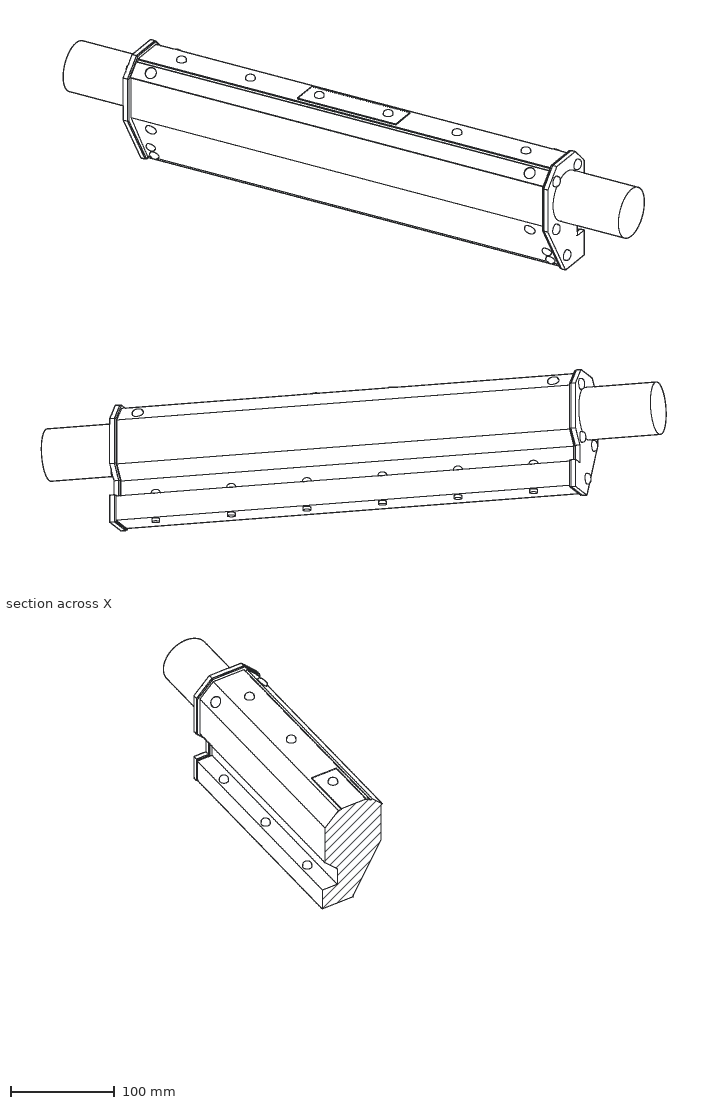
import cadquery as cq
import math

OVERALL_LENGTH = 614.38
TOTAL_HEIGHT = 122.73
TUBE_DIAMETER = 50.8
HOUSING_LENGTH = 457.2

FLANGE_PLATE_THICKNESS = 4.75
GASKET_THICKNESS = 1.6
GASKET_INSET = 0.4
FLANGE_HALF_WIDTH = 35.56
FLANGE_TOP = 39.6
FLANGE_TOP_HALF_WIDTH = 18.0
FLANGE_BOTTOM = -80.6
FLANGE_TOE_Y = -1.0
FLANGE_FRONT_KNEE_Z = -23.6
BACK_KNEE_Z = -22.5
WAIST_Y = 21.8
FOOT_TOP = -53.6

HOUSING_TOP = 36.2
HOUSING_TOP_HALF_WIDTH = 17.5
HOUSING_BACK_Y = 32.6
HOUSING_WAIST_Y = 18.9
HOUSING_FOOT_TOP = -55.0
HOUSING_BOTTOM = -79.0
HOUSING_TOE_Y = 0.5
HOUSING_FRONT_Y = -31.1
HOUSING_FRONT_KNEE_Z = -21.4

PANEL_THICKNESS = 2.0
PANEL_SETBACK = 1.8
TOP_LIP = 1.1
BOTTOM_LIP = 1.7

PLATE_LENGTH = 109.0
PLATE_WIDTH = 28.0
PLATE_THICKNESS = 1.0

TOP_SCREW = (9.5, 3.7)
SLOPE_SCREW = (9.5, 2.75)
COVER_SCREW = (11.0, 2.75)
FLANGE_SCREW = (10.5, 3.5)
FOOT_SCREW = (9.0, 5.0)
STUD_DIAMETER = 7.6
RIM_RATIO = 0.25
HEAD_EMBED = 1.0

SCREW_PITCH = 76.2
SCREW_COUNT = 6
FOOT_SCREW_Y = 29.0
COVER_SCREW_X = HOUSING_LENGTH / 2 - 19.05
COVER_SCREW_Y = 26.0
SLOPE_COVER_SCREW_Z = -31.5
SLOPE_SCREW_X = HOUSING_LENGTH / 2 - 9.525
SLOPE_SCREW_HEIGHTS = [-60.5, -72.5]
FLANGE_SCREW_POINTS = [(20.5, 24.7), (-20.5, 24.7), (16.8, -27.0), (-20.9, -27.0), (0.0, -64.5)]

FLANGE_INNER_X = HOUSING_LENGTH / 2
FLANGE_OUTER_X = FLANGE_INNER_X + GASKET_THICKNESS + FLANGE_PLATE_THICKNESS
FLANGE_SHOULDER_Z = FLANGE_TOP - (FLANGE_HALF_WIDTH - FLANGE_TOP_HALF_WIDTH)
CHAMFER_SUM = HOUSING_TOP + HOUSING_TOP_HALF_WIDTH
PANEL_SEAT_SUM = CHAMFER_SUM - TOP_LIP
PANEL_STEP = PANEL_THICKNESS / math.sqrt(2)
STUD_END = HOUSING_TOP + PLATE_THICKNESS + TOP_SCREW[1] - TOTAL_HEIGHT
SLOPE_BOTTOM = HOUSING_BOTTOM + BOTTOM_LIP
SLOPE_RATE = (HOUSING_TOE_Y - HOUSING_FRONT_Y) / (HOUSING_FRONT_KNEE_Z - SLOPE_BOTTOM)


def slope_y(z):
    """Y of the housing's lower front slope at height z."""
    return HOUSING_TOE_Y - (z - SLOPE_BOTTOM) * SLOPE_RATE


def section(points):
    """Closed (y, z) outline on the plane x = 0."""
    return cq.Workplane("YZ").polyline(points).close()


def flange_section():
    return section([
        (FLANGE_TOP_HALF_WIDTH, FLANGE_TOP),
        (FLANGE_HALF_WIDTH, FLANGE_SHOULDER_Z),
        (FLANGE_HALF_WIDTH, BACK_KNEE_Z),
        (WAIST_Y, BACK_KNEE_Z - (FLANGE_HALF_WIDTH - WAIST_Y)),
        (WAIST_Y, FOOT_TOP),
        (FLANGE_HALF_WIDTH, FOOT_TOP),
        (FLANGE_HALF_WIDTH, FLANGE_BOTTOM),
        (FLANGE_TOE_Y, FLANGE_BOTTOM),
        (-FLANGE_HALF_WIDTH, FLANGE_FRONT_KNEE_Z),
        (-FLANGE_HALF_WIDTH, FLANGE_SHOULDER_Z),
        (-FLANGE_TOP_HALF_WIDTH, FLANGE_TOP),
    ])


def make_flange():
    """Flange at the +X end of the housing."""
    gasket = flange_section().offset2D(-GASKET_INSET, "intersection").extrude(GASKET_THICKNESS)
    plate = flange_section().extrude(FLANGE_PLATE_THICKNESS)
    flange = gasket.union(plate.translate((GASKET_THICKNESS, 0, 0)))
    return flange.translate((FLANGE_INNER_X, 0, 0))


def make_housing():
    lip_bottom_z = HOUSING_TOP - TOP_LIP
    panel_top_y = -HOUSING_TOP_HALF_WIDTH - PANEL_SETBACK
    panel_top_z = lip_bottom_z - PANEL_SETBACK
    front_shoulder_z = PANEL_SEAT_SUM + HOUSING_FRONT_Y
    outline = [
        (HOUSING_TOP_HALF_WIDTH, HOUSING_TOP),
        (HOUSING_BACK_Y, CHAMFER_SUM - HOUSING_BACK_Y),
        (HOUSING_BACK_Y, BACK_KNEE_Z),
        (HOUSING_WAIST_Y, BACK_KNEE_Z - (HOUSING_BACK_Y - HOUSING_WAIST_Y)),
        (HOUSING_WAIST_Y, HOUSING_FOOT_TOP),
        (FLANGE_HALF_WIDTH, HOUSING_FOOT_TOP),
        (FLANGE_HALF_WIDTH, HOUSING_BOTTOM),
        (HOUSING_TOE_Y, HOUSING_BOTTOM),
        (HOUSING_TOE_Y, SLOPE_BOTTOM),
        (HOUSING_FRONT_Y, HOUSING_FRONT_KNEE_Z),
        (HOUSING_FRONT_Y, front_shoulder_z),
        (HOUSING_FRONT_Y - PANEL_STEP, front_shoulder_z + PANEL_STEP),
        (panel_top_y - PANEL_STEP, panel_top_z + PANEL_STEP),
        (panel_top_y, panel_top_z),
        (-HOUSING_TOP_HALF_WIDTH, lip_bottom_z),
        (-HOUSING_TOP_HALF_WIDTH, HOUSING_TOP),
    ]
    return section(outline).extrude(HOUSING_LENGTH / 2, both=True)


def screw_head(size, seat, normal):
    """Screw head with a quarter-round dome and a flat crown, seated at a point and facing along normal."""
    diameter, height = size
    radius = diameter / 2
    rim = height * RIM_RATIO
    dome_radius = height - rim
    crown = radius - dome_radius
    shoulder = (crown + dome_radius / math.sqrt(2), rim + dome_radius / math.sqrt(2))
    profile = (
        cq.Workplane("XZ")
        .moveTo(0, -HEAD_EMBED)
        .lineTo(radius, -HEAD_EMBED)
        .lineTo(radius, rim)
        .threePointArc(shoulder, (crown, height))
        .lineTo(0, height)
        .close()
    )
    head = profile.revolve(360, (0, 0), (0, 1)).val()
    across = (0, 1, 0) if normal[0] else (1, 0, 0)
    return head.located(cq.Location(cq.Plane(origin=seat, xDir=across, normal=normal)))


def evenly_spaced_x():
    first = -SCREW_PITCH * (SCREW_COUNT - 1) / 2
    return [first + SCREW_PITCH * i for i in range(SCREW_COUNT)]


def top_screws():
    """Row along the top face; the middle ones hold the name plate."""
    heads = []
    for x in evenly_spaced_x():
        on_plate = abs(x) < PLATE_LENGTH / 2
        seat_z = HOUSING_TOP + (PLATE_THICKNESS if on_plate else 0)
        heads.append(screw_head(TOP_SCREW, (x, 0, seat_z), (0, 0, 1)))
    return heads


def foot_screws():
    """Row through the foot: heads on top, stud ends below."""
    pieces = []
    for x in evenly_spaced_x():
        pieces.append(screw_head(FOOT_SCREW, (x, FOOT_SCREW_Y, HOUSING_FOOT_TOP), (0, 0, 1)))
        stud = cq.Workplane("XY", origin=(x, FOOT_SCREW_Y, STUD_END)).circle(STUD_DIAMETER / 2)
        pieces.append(stud.extrude(HOUSING_BOTTOM + HEAD_EMBED - STUD_END).val())
    return pieces


def cover_screws():
    """Screws near each end on both top chamfers and on the lower front slope."""
    back_z = CHAMFER_SUM - COVER_SCREW_Y
    panel_z = PANEL_SEAT_SUM - COVER_SCREW_Y + 2 * PANEL_STEP
    slope_normal = (0, -1, -SLOPE_RATE)
    heads = []
    for side in (-1, 1):
        x = side * COVER_SCREW_X
        back_seat = (x, COVER_SCREW_Y, back_z)
        front_seat = (x, -COVER_SCREW_Y, panel_z)
        slope_seat = (x, slope_y(SLOPE_COVER_SCREW_Z), SLOPE_COVER_SCREW_Z)
        heads.append(screw_head(COVER_SCREW, back_seat, (0, 1, 1)))
        heads.append(screw_head(COVER_SCREW, front_seat, (0, -1, 1)))
        heads.append(screw_head(COVER_SCREW, slope_seat, slope_normal))
        for z in SLOPE_SCREW_HEIGHTS:
            seat = (side * SLOPE_SCREW_X, slope_y(z), z)
            heads.append(screw_head(SLOPE_SCREW, seat, slope_normal))
    return heads


def flange_screws():
    heads = []
    for side in (-1, 1):
        for y, z in FLANGE_SCREW_POINTS:
            heads.append(screw_head(FLANGE_SCREW, (side * FLANGE_OUTER_X, y, z), (side, 0, 0)))
    return heads


def make_name_plate():
    plate = cq.Workplane("XY", origin=(0, 0, HOUSING_TOP)).rect(PLATE_LENGTH, PLATE_WIDTH)
    return plate.extrude(PLATE_THICKNESS)


def make_tube():
    return cq.Workplane("YZ").circle(TUBE_DIAMETER / 2).extrude(OVERALL_LENGTH / 2, both=True)


flange = make_flange()
result = make_housing().union(make_tube()).union(make_name_plate())
result = result.union(flange).union(flange.mirror("YZ"))
for piece in top_screws() + foot_screws() + cover_screws() + flange_screws():
    result = result.union(cq.Workplane(piece))